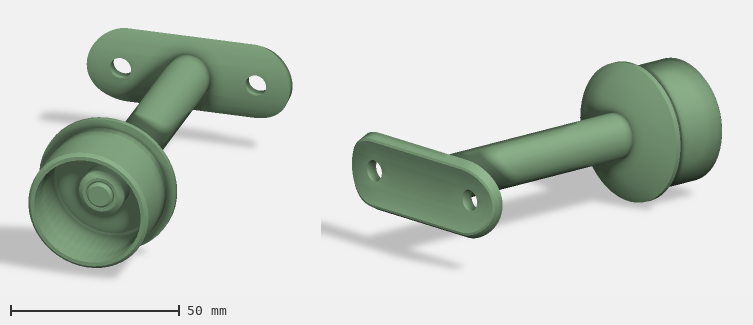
import cadquery as cq
import math

total_length = 106.5

plate_length = 63.0
plate_half_height = 11.9
plate_thickness = 3.6
plate_edge_chamfer = 0.5
end_curve_steps = 12
plate_hole_diameter = 6.5
plate_hole_offset = 21.0

stem_diameter = 14.0
stem_end_y = 101.1
stud_diameter = 8.0
stud_tip_diameter = 6.5
stud_tip_y = 11.5

flange_diameter = 42.4
neck_diameter = 36.9
skirt_diameter = 37.3
cup_diameter = 33.0
cup_depth = 20.5
cup_corner_width = 0.7
cup_corner_depth = 0.4
skirt_chamfer = 1.0
skirt_length = 16.9
flange_bottom_y = 19.9
flange_top_y = 21.5
dome_radius = 46.9

nut_end_y = 12.6
nut_chamfer = 1.0
nut_crown_diameter = 10.8
nut_crown_height = 0.5
nut_mouth_diameter = 8.7

plate_inner_radius = flange_diameter / 2
plate_outer_radius = plate_inner_radius + plate_thickness
back_edge_angle = math.asin(plate_half_height / plate_outer_radius) - plate_edge_chamfer / plate_inner_radius
bend_axis_y = total_length + plate_inner_radius * math.cos(back_edge_angle)

stem_radius = stem_diameter / 2
stud_radius = stud_diameter / 2
flange_radius = flange_diameter / 2
dome_center_y = flange_top_y - math.sqrt(dome_radius**2 - flange_radius**2)
shoulder_y = dome_center_y + math.sqrt(dome_radius**2 - stem_radius**2)


def cylinder(diameter, start_y, end_y):
    """A cylinder on the Y axis."""
    return cq.Workplane("XZ", origin=(0, start_y, 0)).circle(diameter / 2).extrude(start_y - end_y)


def radial_outline(distance):
    """The plate outline on the plane at a distance from the bend axis, projected along radial lines.

    Looking along Y, the outer face of the plate has straight sides and semicircular ends.
    """
    end_center_x = plate_length / 2 - plate_half_height

    def outline_z(height):
        return distance * math.tan(math.asin(height / plate_outer_radius))

    fractions = [step / end_curve_steps for step in range(end_curve_steps + 1)]

    def round_end(side):
        return [
            (
                side * (end_center_x + plate_half_height * math.sin(math.pi * fraction)),
                side * outline_z(plate_half_height * math.cos(math.pi * fraction)),
            )
            for fraction in fractions
        ]

    return (
        cq.Workplane("XZ", origin=(0, bend_axis_y - distance, 0))
        .moveTo(*round_end(1)[0])
        .spline(round_end(1), parameters=fractions)
        .lineTo(*round_end(-1)[0])
        .spline(round_end(-1), parameters=fractions)
        .close()
        .val()
    )


def make_plate():
    tube = (
        cq.Workplane("YZ")
        .center(bend_axis_y, 0)
        .circle(plate_outer_radius)
        .circle(plate_inner_radius)
        .extrude(plate_length, both=True)
    )
    wedge = cq.Solid.makeLoft(
        [radial_outline(plate_inner_radius / 2), radial_outline(plate_outer_radius * 2)], True
    )
    holes = (
        cq.Workplane("XZ")
        .pushPoints([(-plate_hole_offset, 0), (plate_hole_offset, 0)])
        .circle(plate_hole_diameter / 2)
        .extrude(-bend_axis_y)
    )
    back_center = (0, bend_axis_y - plate_inner_radius, 0)
    return (
        tube.intersect(cq.Workplane(wedge))
        .faces(cq.selectors.NearestToPointSelector(back_center))
        .edges()
        .chamfer(plate_edge_chamfer)
        .cut(holes)
    )


def make_stem():
    rod = cylinder(stem_diameter, shoulder_y, stem_end_y)
    stud = cylinder(stud_diameter, stud_tip_y, shoulder_y)
    tip_chamfer = (stud_diameter - stud_tip_diameter) / 2
    return rod.union(stud.faces("<Y").chamfer(tip_chamfer))


def make_cap():
    cup_radius = cup_diameter / 2
    skirt_radius = skirt_diameter / 2
    neck_radius = neck_diameter / 2
    dome_middle_radius = (flange_radius + stem_radius) / 2
    dome_middle_y = dome_center_y + math.sqrt(dome_radius**2 - dome_middle_radius**2)
    return (
        cq.Workplane("XY")
        .moveTo(cup_radius, 0)
        .lineTo(skirt_radius - skirt_chamfer, 0)
        .lineTo(skirt_radius, skirt_chamfer)
        .lineTo(skirt_radius, skirt_length)
        .lineTo(neck_radius, skirt_length)
        .lineTo(neck_radius, flange_bottom_y)
        .lineTo(flange_radius, flange_bottom_y)
        .lineTo(flange_radius, flange_top_y)
        .threePointArc((dome_middle_radius, dome_middle_y), (stem_radius, shoulder_y))
        .lineTo(stud_radius, shoulder_y)
        .lineTo(stud_radius, cup_depth)
        .lineTo(cup_radius - cup_corner_width, cup_depth)
        .lineTo(cup_radius, cup_depth - cup_corner_depth)
        .close()
        .revolve(360, (0, 0, 0), (0, 1, 0))
    )


def make_nut():
    mouth_radius = nut_mouth_diameter / 2
    crown_base_y = nut_end_y + nut_crown_height
    return (
        cq.Workplane("XY")
        .moveTo(stud_radius, cup_depth)
        .lineTo(stud_radius, nut_end_y + mouth_radius - stud_radius)
        .lineTo(mouth_radius, nut_end_y)
        .lineTo(nut_crown_diameter / 2, nut_end_y)
        .lineTo(stem_radius - nut_chamfer, crown_base_y)
        .lineTo(stem_radius, crown_base_y + nut_chamfer)
        .lineTo(stem_radius, cup_depth)
        .close()
        .revolve(360, (0, 0, 0), (0, 1, 0))
    )


stem = make_stem()
plate = make_plate().cut(stem)
cap = make_cap()
nut = make_nut()

result = cq.Compound.makeCompound([plate.val(), stem.val(), cap.val(), nut.val()])